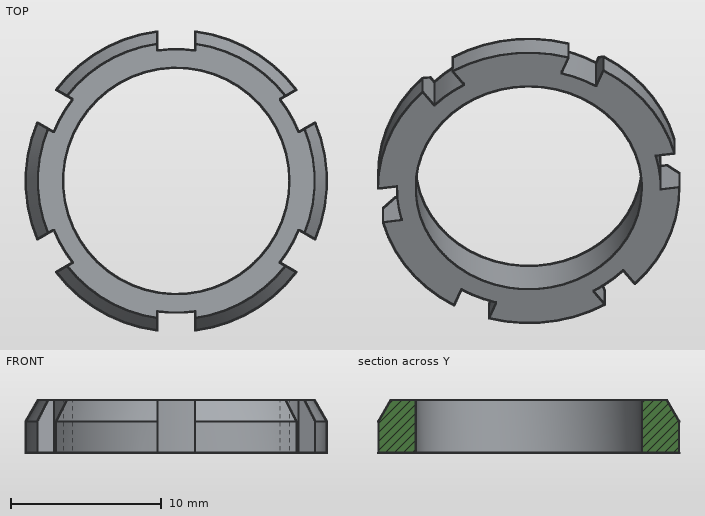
import cadquery as cq
import math

outer_diameter = 19.94
bore_diameter = 14.95
height = 3.5

bevel_width = 0.82
bevel_angle = 60.0
bevel_height = bevel_width * math.tan(math.radians(bevel_angle))

slot_count = 6
slot_width = 2.5
slot_floor_diameter = 17.45
first_slot_angle = 90.0

outer_radius = outer_diameter / 2
bore_radius = bore_diameter / 2


def make_ring():
    """Revolve the bevelled cross-section about Z."""
    return (
        cq.Workplane("XZ")
        .moveTo(bore_radius, 0)
        .lineTo(outer_radius, 0)
        .lineTo(outer_radius, height - bevel_height)
        .lineTo(outer_radius - bevel_width, height)
        .lineTo(bore_radius, height)
        .close()
        .revolve(360, (0, 0, 0), (0, 1, 0))
    )


def make_slot_cutter(angle):
    """Radial bar of slot width, stopped by the round slot floor."""
    bar = (
        cq.Workplane("XY")
        .rect(outer_diameter, slot_width)
        .extrude(height)
        .translate((outer_radius, 0, 0))
        .rotate((0, 0, 0), (0, 0, 1), angle)
    )
    floor = cq.Workplane("XY").circle(slot_floor_diameter / 2).extrude(height)
    return bar.cut(floor)


result = make_ring()
for index in range(slot_count):
    slot_angle = first_slot_angle + index * 360 / slot_count
    result = result.cut(make_slot_cutter(slot_angle))